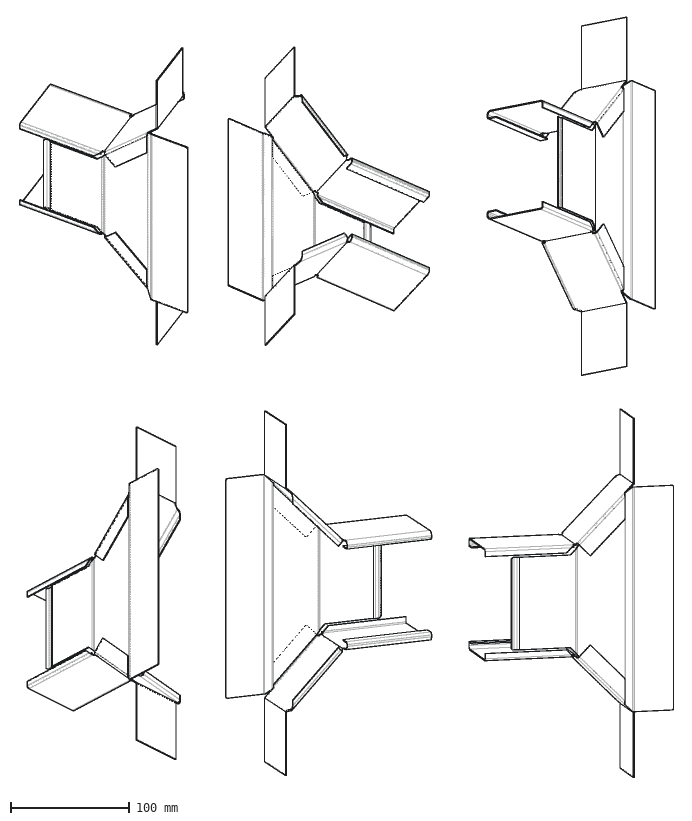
import math

import cadquery as cq

sheet = 1.05
half_sheet = sheet / 2
diagonal = math.sqrt(0.5)

wall_half_width = 48.0
wall_height = 57.0
bend_x = 79.2
bend_half_angle = math.radians(22.5)
strap_x = 129.5
strap_tip = 154.0
strap_bottom = 2.8
strap_top = 48.7

bottom_fold_radius = 2 * sheet
top_fold_radius = 3.7
hook_radius = 2 * sheet
lip_width = 7.5
hook_depth = 9.2
straight_flange_width = 6.5
sloped_flange_width = 15.7
straight_fold_end = 77.5
sloped_fold_gap = 2.0
sloped_flange_end = 121.8
sloped_lip_end = 127.3
lip_corner_height = 53.3

notch_end = bend_x + 1.2
bottom_notch_height = 3.7
top_notch_bottom = 51.0
top_notch_shoulder = 52.5

base_end = 163.0
step_start = 122.5
step_end = 128.2
step_drop = 5.2
upper_step_radius = 1.0
lower_step_radius = 1.5
plate_half_width = wall_half_width
base_flange_half_width = 96.5
base_corner_radius = 1.2
tab_start = 22.8
tab_half_width = 39.8
tab_corner = 2.0
flare_start = 74.3
flare_half_width = 44.7
joggle_start = 79.2
joggle_radius = 1.2

ridge_foot = 30.0
ridge_crest = 26.8
ridge_rise = 2.0
ridge_radius = 3.0
tab_end_dip = 0.3

cut_reach = 308.3


def direction(start, end):
    length = math.dist(start, end)
    return ((end[0] - start[0]) / length, (end[1] - start[1]) / length)


def face_moves(path, radii, offset):
    """Points of a sheet face at an offset to the left of its middle line.

    Each move is a line to its first point, then, at a rounded bend, an arc through the other two.
    """
    steps = [direction(a, b) for a, b in zip(path, path[1:])]

    def shifted(point, step):
        return (point[0] - offset * step[1], point[1] + offset * step[0])

    moves = [[shifted(path[0], steps[0])]]
    for corner, before, after, radius in zip(path[1:], steps, steps[1:], radii):
        cross = before[0] * after[1] - before[1] * after[0]
        dot = before[0] * after[0] + before[1] * after[1]
        half_turn = math.atan2(cross, dot) / 2
        if radius == 0:
            slide = -offset * math.tan(half_turn)
            square = shifted(corner, before)
            moves.append([(square[0] + slide * before[0], square[1] + slide * before[1])])
            continue
        side = math.copysign(1, half_turn)
        setback = radius * math.tan(abs(half_turn))
        start = (corner[0] - setback * before[0], corner[1] - setback * before[1])
        end = (corner[0] + setback * after[0], corner[1] + setback * after[1])
        centre = (start[0] - side * radius * before[1], start[1] + side * radius * before[0])
        outward = direction(centre, corner)
        reach = radius - side * offset
        middle = (centre[0] + reach * outward[0], centre[1] + reach * outward[1])
        moves.append([shifted(start, before), middle, shifted(end, after)])
    moves.append([shifted(path[-1], steps[-1])])
    return moves


def sheet_outline(plane, path, radii):
    """Closed outline of a sheet whose middle line follows path, with one radius per bend."""
    left = face_moves(path, radii, half_sheet)
    right = face_moves(path, radii, -half_sheet)
    moves = left + [move[::-1] for move in reversed(right)]
    outline = cq.Workplane(plane).moveTo(*moves[0][0])
    for move in moves[1:]:
        outline = outline.lineTo(*move[0])
        if len(move) == 3:
            outline = outline.threePointArc(move[1], move[2])
    return outline.close()


def cutter(plane, points):
    return cq.Workplane(plane).polyline(points).close().extrude(cut_reach, both=True)


def make_web():
    """The flat walls and the strap, up to the start of the top fold."""
    middle = wall_half_width - half_sheet
    strap_middle = strap_x + half_sheet
    bend_middle = bend_x + half_sheet * math.tan(bend_half_angle)
    plan = [
        (0, middle),
        (bend_middle, middle),
        (strap_middle, middle + strap_middle - bend_middle),
        (strap_middle, strap_tip),
    ]
    plane = cq.Plane(origin=(0, strap_bottom, 0), xDir=(1, 0, 0), normal=(0, -1, 0))
    return sheet_outline(plane, plan, [0, 0]).extrude(strap_bottom - wall_height + top_fold_radius)


def folded_wall(start, along, inward, flange_width, has_hook, length):
    """A length of wall with its bottom flange and top lip, drawn as (inward, up)."""
    section = [
        (flange_width, half_sheet),
        (half_sheet, half_sheet),
        (half_sheet, wall_height - half_sheet),
        (lip_width - half_sheet, wall_height - half_sheet),
    ]
    outer_radii = [bottom_fold_radius, top_fold_radius]
    if has_hook:
        section.append((lip_width - half_sheet, wall_height - hook_depth))
        outer_radii.append(hook_radius)
    plane = cq.Plane(origin=start, xDir=inward, normal=along)
    return sheet_outline(plane, section, [r - half_sheet for r in outer_radii]).extrude(length)


def make_straight_folds():
    folds = folded_wall(
        (0, 0, wall_half_width), (1, 0, 0), (0, 0, -1), straight_flange_width, True, straight_fold_end
    )
    flange_tip = wall_half_width - straight_flange_width
    mitre = (
        cq.Workplane("XZ")
        .polyline([
            (straight_fold_end, wall_half_width),
            (straight_fold_end, flange_tip),
            (straight_fold_end - straight_flange_width, flange_tip),
        ])
        .close()
        .extrude(-sheet)
    )
    return folds.cut(mitre)


def make_sloped_folds():
    shift = sloped_fold_gap * diagonal
    start = (bend_x + shift, 0, wall_half_width + shift)
    length = (strap_x - start[0]) / diagonal
    folds = folded_wall(
        start, (diagonal, 0, diagonal), (diagonal, 0, -diagonal), sloped_flange_width, False, length
    )
    beyond_flange = cutter("XY", [
        (sloped_flange_end, 0),
        (sloped_flange_end, strap_bottom),
        (base_end, strap_bottom),
        (base_end, 0),
    ])
    return folds.cut(beyond_flange)


def make_side():
    side = make_web().union(make_straight_folds()).union(make_sloped_folds())
    above_strap = cutter("XY", [
        (base_end, strap_top),
        (strap_x, strap_top),
        (sloped_lip_end, lip_corner_height),
        (sloped_lip_end, wall_height),
        (base_end, wall_height),
    ])
    top_notch = cutter("XY", [
        (bend_x, top_notch_bottom),
        (notch_end, top_notch_shoulder),
        (notch_end, lip_corner_height),
        (straight_fold_end, lip_corner_height),
        (straight_fold_end, top_notch_shoulder),
    ])
    bottom_notch = cutter("XY", [
        (straight_fold_end, sheet),
        (straight_fold_end, bottom_notch_height),
        (notch_end, bottom_notch_height),
        (notch_end, sheet),
    ])
    return side.cut(above_strap).cut(top_notch).cut(bottom_notch)


def make_base():
    tab_y = half_sheet
    plate_y = tab_y + sheet
    profile = [
        (tab_start, tab_y - tab_end_dip),
        (ridge_crest, tab_y + ridge_rise),
        (ridge_foot, tab_y),
        (joggle_start, tab_y),
        (joggle_start + sheet, plate_y),
        (step_start, plate_y),
        (step_end, plate_y - step_drop),
        (base_end, plate_y - step_drop),
    ]
    radii = [ridge_radius, 0, joggle_radius, joggle_radius, upper_step_radius, lower_step_radius]
    blank = sheet_outline("XY", profile, radii).extrude(base_flange_half_width, both=True)

    slope_outer = wall_half_width - bend_x
    slope_inner = slope_outer - bottom_fold_radius / diagonal
    half_plan = [
        (tab_start - half_sheet, tab_half_width - tab_corner),
        (tab_start - half_sheet + tab_corner, tab_half_width),
        (flare_start, tab_half_width),
        (joggle_start, flare_half_width),
        (plate_half_width - slope_inner, plate_half_width),
        (sloped_flange_end, sloped_flange_end + slope_inner),
        (sloped_flange_end, sloped_flange_end + slope_outer),
        (base_flange_half_width - slope_outer, base_flange_half_width),
        (base_end, base_flange_half_width),
    ]
    mirrored_half = [(x, -z) for x, z in reversed(half_plan)]
    base = blank.intersect(cutter("XZ", half_plan + mirrored_half))
    return base.edges("|Y and >X").fillet(base_corner_radius)


base = make_base()
side = make_side()
sides = [side, side.mirror("XY")]

result = cq.Compound.makeCompound([base.solids().val(), *[one_side.solids().val() for one_side in sides]])